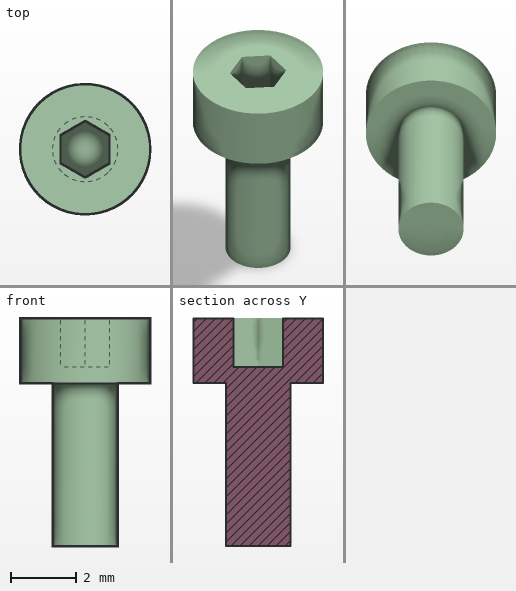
import cadquery as cq
import math

total_length = 7.0
shank_diameter = total_length * 2 / 7
head_diameter = 2 * shank_diameter
head_height = shank_diameter
socket_across_flats = 0.75 * shank_diameter
socket_depth = 0.75 * head_height

shank_length = total_length - head_height


def make_head():
    return cq.Workplane("XY").circle(head_diameter / 2).extrude(head_height)


def make_shank():
    return cq.Workplane("XY").circle(shank_diameter / 2).extrude(-shank_length)


def make_socket():
    """Blind hexagonal recess with two corners on the Y axis."""
    across_corners = socket_across_flats / math.cos(math.pi / 6)
    return (
        cq.Workplane("XY", origin=(0, 0, head_height))
        .transformed(rotate=(0, 0, 90))
        .polygon(6, across_corners)
        .extrude(-socket_depth)
    )


result = make_head().union(make_shank()).cut(make_socket())